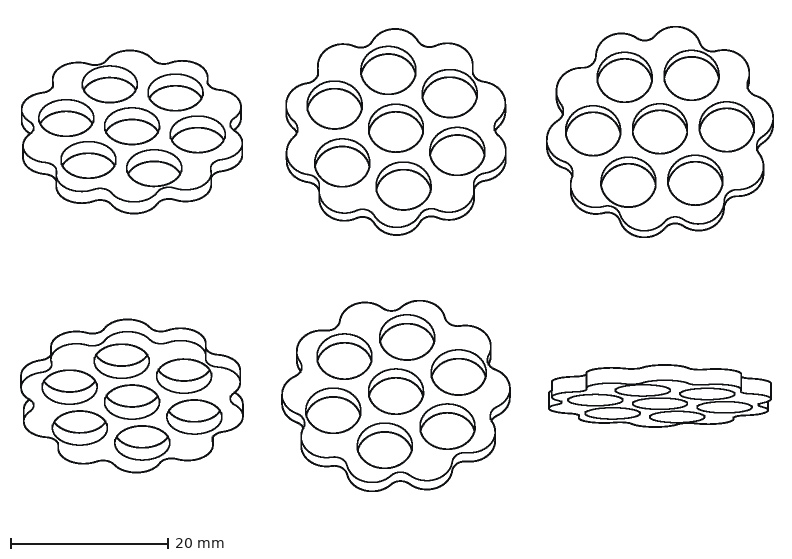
import cadquery as cq
import math

overall_length = 29.0
thickness = 2.0
lobe_count = 10
lobe_radius = 3.25
valley_radius = 1.65
hole_diameter = 7.0
hole_spacing = 8.5
outer_hole_count = 6

lobe_circle_radius = overall_length / 2 - lobe_radius
half_pitch = math.pi / lobe_count
first_lobe_angle = math.pi / 2

valley_circle_radius = lobe_circle_radius * math.cos(half_pitch) + math.sqrt(
    (lobe_radius + valley_radius) ** 2 - (lobe_circle_radius * math.sin(half_pitch)) ** 2
)


def polar(radius, angle):
    return (radius * math.cos(angle), radius * math.sin(angle))


def tangent_point(lobe_angle, side):
    """Point where a lobe meets the valley on its side (+1 or -1)."""
    lobe_x, lobe_y = polar(lobe_circle_radius, lobe_angle)
    valley_x, valley_y = polar(valley_circle_radius, lobe_angle + side * half_pitch)
    fraction = lobe_radius / (lobe_radius + valley_radius)
    return (
        lobe_x + fraction * (valley_x - lobe_x),
        lobe_y + fraction * (valley_y - lobe_y),
    )


def scalloped_plate():
    """Plate edged by alternating lobe and valley arcs."""
    outline = cq.Workplane("XY").moveTo(*tangent_point(first_lobe_angle, -1))
    for index in range(lobe_count):
        angle = first_lobe_angle + 2 * half_pitch * index
        next_angle = angle + 2 * half_pitch
        lobe_tip = polar(overall_length / 2, angle)
        valley_bottom = polar(valley_circle_radius - valley_radius, angle + half_pitch)
        outline = outline.threePointArc(lobe_tip, tangent_point(angle, 1))
        outline = outline.threePointArc(valley_bottom, tangent_point(next_angle, -1))
    return outline.close().extrude(thickness)


def hole_cutters():
    """One central hole ringed by equally spaced holes."""
    ring = [
        polar(hole_spacing, 2 * math.pi * index / outer_hole_count)
        for index in range(outer_hole_count)
    ]
    centers = [(0, 0)] + ring
    return cq.Workplane("XY").pushPoints(centers).circle(hole_diameter / 2).extrude(thickness)


result = scalloped_plate().cut(hole_cutters())